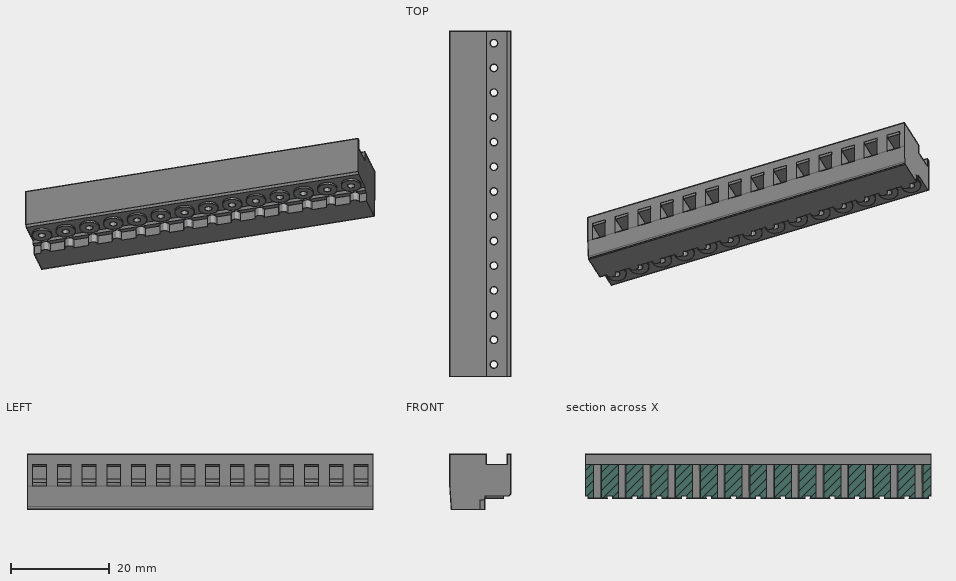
import cadquery as cq

length = 70.0
width = 12.4
height = 11.3

pole_count = 14
end_margin = 2.45
pitch = (length - 2 * end_margin) / (pole_count - 1)
pole_positions = [end_margin + i * pitch for i in range(pole_count)]

channel_start = 7.4
channel_end = 11.6
channel_depth = 2.1

leg_width = 6.15
leg_shelf = 1.95
overhang_start = 7.15
overhang_bottom = 2.7
overhang_chamfer = 0.4
taper_top = 4.75
taper_bottom = 0.6
taper_inset = 0.3
toe_height = 0.15
toe_inset = 0.5

entry_width = 2.8
entry_top = 9.2
entry_ceiling = 8.75
lead_in_depth = 0.3
entry_depth = 4.2
ramp_end = (1.0, 5.2)
ramp_curve_end = (1.4, 5.5)
ledge_start = 1.55
ledge_height = 6.2

hole_diameter = 1.5
hole_x = 8.95
boss_diameter = 4.0
boss_drop = 0.4

rib_radius = overhang_start - leg_width


def extrude_along_y(section, start, depth):
    """Turn a closed XZ section into a solid that runs from start towards +Y."""
    return section.extrude(-depth).translate((0, start, 0))


def make_body():
    section = (
        cq.Workplane("XZ")
        .moveTo(toe_inset, 0)
        .lineTo(leg_width, 0)
        .lineTo(leg_width, leg_shelf)
        .lineTo(overhang_start, leg_shelf)
        .lineTo(overhang_start, overhang_bottom)
        .lineTo(width - overhang_chamfer, overhang_bottom)
        .lineTo(width, overhang_bottom + overhang_chamfer)
        .lineTo(width, height)
        .lineTo(channel_end, height)
        .lineTo(channel_end, height - channel_depth)
        .lineTo(channel_start, height - channel_depth)
        .lineTo(channel_start, height)
        .lineTo(0, height)
        .lineTo(0, taper_top)
        .lineTo(taper_inset, taper_bottom)
        .lineTo(taper_inset, toe_height)
        .close()
    )
    return extrude_along_y(section, 0, length)


def make_entry(y):
    """Wire entry: ramped floor curving up, flat ledge behind it and a lead-in at the top."""
    section = (
        cq.Workplane("XZ")
        .moveTo(0, taper_top)
        .lineTo(*ramp_end)
        .tangentArcPoint(ramp_curve_end, relative=False)
        .lineTo(ledge_start, ledge_height)
        .lineTo(entry_depth, ledge_height)
        .lineTo(entry_depth, entry_ceiling)
        .lineTo(lead_in_depth, entry_ceiling)
        .lineTo(0, entry_top)
        .close()
    )
    return extrude_along_y(section, y - entry_width / 2, entry_width)


def make_boss(y):
    """Round boss whose upper half is sunk into the overhang."""
    boss_height = 2 * boss_drop
    boss = cq.Workplane("XY").circle(boss_diameter / 2).extrude(boss_height)
    return boss.translate((hole_x, y, overhang_bottom - boss_drop))


def make_rib(y):
    """Upright cylinder whose inner half is buried in the leg."""
    rib = cq.Workplane("XY").circle(rib_radius).extrude(leg_shelf)
    return rib.translate((leg_width, y, 0))


def make_screw_hole(y):
    return cq.Workplane("XY").circle(hole_diameter / 2).extrude(height).translate((hole_x, y, 0))


result = make_body()
for pole_y in pole_positions:
    result = result.union(make_boss(pole_y)).union(make_rib(pole_y))
for pole_y in pole_positions:
    result = result.cut(make_entry(pole_y)).cut(make_screw_hole(pole_y))